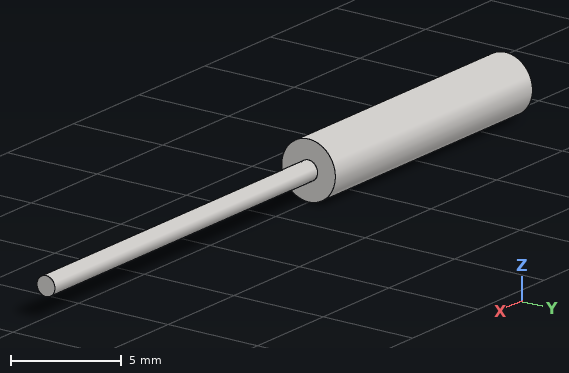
import cadquery as cq

total_length = 35.0
body_length = 15.0
body_diameter = 3.0
pin_diameter = 1.0

pin_length = total_length - body_length


def cylinder_along_x(start, length, diameter):
    """Solid cylinder centred on the X axis, beginning at the given X."""
    return cq.Workplane("YZ", origin=(start, 0, 0)).circle(diameter / 2).extrude(length)


body = cylinder_along_x(0, body_length, body_diameter)
pin = cylinder_along_x(body_length, pin_length, pin_diameter)

result = body.union(pin)